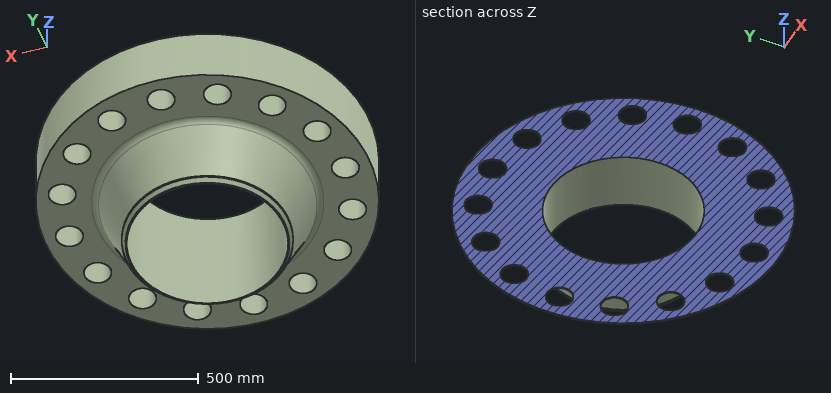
import cadquery as cq

flange_diameter = 914.0
flange_thickness = 163.0
bore_diameter = 430.0

face_diameter = 534.0
face_height = 6.0

total_height = 334.0
hub_top_diameter = 592.5
hub_fillet = 20.0
selection_margin = 5.0
weld_diameter = 457.0
weld_root_diameter = 437.0
weld_bevel_height = 12.0
weld_band_height = 5.0

bolt_count = 16
bolt_circle_diameter = 775.0
bolt_hole_diameter = 73.0

face_z = total_height - face_height
flange_bottom_z = face_z - flange_thickness
band_bottom_z = weld_bevel_height
taper_bottom_z = band_bottom_z + weld_band_height


def make_body():
    """Revolve the disc, raised face, hub and welding end around the bore."""
    profile = (
        cq.Workplane("XZ")
        .moveTo(bore_diameter / 2, 0)
        .lineTo(weld_root_diameter / 2, 0)
        .lineTo(weld_diameter / 2, band_bottom_z)
        .lineTo(weld_diameter / 2, taper_bottom_z)
        .lineTo(hub_top_diameter / 2, flange_bottom_z)
        .lineTo(flange_diameter / 2, flange_bottom_z)
        .lineTo(flange_diameter / 2, face_z)
        .lineTo(face_diameter / 2, face_z)
        .lineTo(face_diameter / 2, total_height)
        .lineTo(bore_diameter / 2, total_height)
        .close()
    )
    return profile.revolve(360, (0, 0, 0), (0, 1, 0))


def fillet_hub(body):
    """Round the inner corner where the hub meets the disc."""
    reach = hub_top_diameter / 2 + selection_margin
    corner = cq.selectors.BoxSelector(
        (-reach, -reach, flange_bottom_z - selection_margin),
        (reach, reach, flange_bottom_z + selection_margin),
        boundingbox=True,
    )
    return body.edges(corner).fillet(hub_fillet)


def make_bolt_holes():
    """Cylinders through the disc, evenly spaced on the bolt circle."""
    return (
        cq.Workplane("XY")
        .workplane(offset=flange_bottom_z)
        .polarArray(bolt_circle_diameter / 2, 0, 360, bolt_count)
        .circle(bolt_hole_diameter / 2)
        .extrude(flange_thickness)
    )


result = fillet_hub(make_body()).cut(make_bolt_holes())